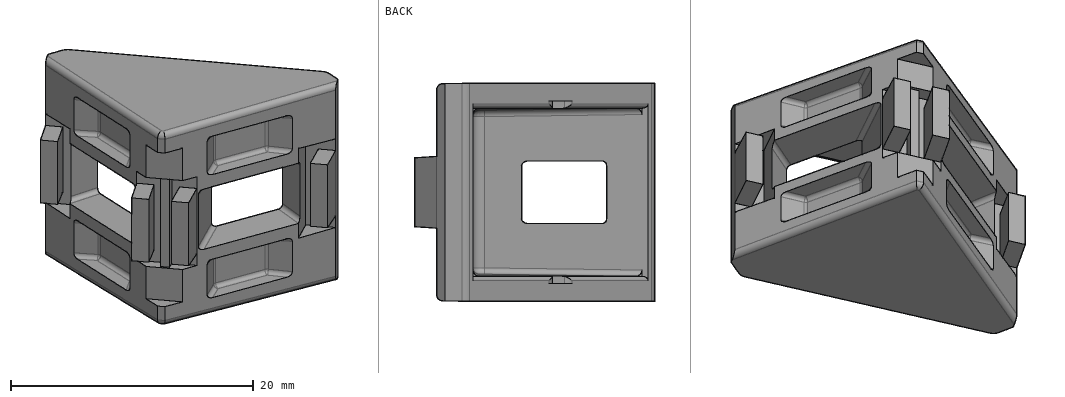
import cadquery as cq
import math

leg = 18.0
height = 18.0
mould_draft = 1.1
outward = (1, -1)

back_offset = 2.45
back_rounding = 0.91
end_chamfer = 0.71
corner_chamfer = 0.44
face_edge_fillet = 0.51

wall = 3.0
cavity_half_height = 6.93
cavity_corner_fillet = 0.93
cavity_plate_fillet = 0.51
lip_radius = 0.35
notch_wall = 8.45
notch_half_height = 7.52

window_start = 3.98
window_end = 10.97
window_mouth_end = 14.25
window_half_height = 2.73
window_draft = 3.0
window_fillet = 0.4

pocket_mouth = (4.99, 13.38)
pocket_floor = (6.53, 11.7)
pocket_depth = 1.52
pocket_mid_height = 5.58
pocket_half_height = 1.75
pocket_draft = 2.0
pocket_fillet = 0.38

relief_size = 2.18
relief_half_height = 6.97

end_slot_start = end_chamfer
corner_slot_start = 14.41
end_slot_depth = 1.78
end_slot_mouth = 3.68
corner_slot_depth = 1.48
ridge = (16.5, 0.97)
slot_half_height = 4.02
clip_reach = 1.8
clip_run = 1.98
clip_tip_width = 1.03
clip_half_height = 2.97
clip_draft = 2.5

overcut = 1.98


def drafted_prism(outline, start, direction, half_height, draft):
    """Vertical prism whose half height is given at start and changes along direction by the draft."""
    length = 2 * leg
    change = length * math.tan(math.radians(draft))
    across = (direction[1], -direction[0], 0)
    wedge_plane = cq.Plane(origin=(*start, 0), xDir=(*direction, 0), normal=across)
    wedge = (
        cq.Workplane(wedge_plane)
        .polyline([
            (-length, half_height - change),
            (length, half_height + change),
            (length, -half_height - change),
            (-length, -half_height + change),
        ])
        .close()
        .extrude(length, both=True)
    )
    prism = cq.Workplane("XY").polyline(outline).close().extrude(height, both=True)
    return prism.intersect(wedge)


def mirrored(feature):
    """Copy for the other leg: a half turn, equal to mirroring since each feature is symmetric in Z."""
    return feature.rotate((leg, 0, 0), (0, leg, 0), 180)


def mirror_point(point):
    return (leg - point[1], leg - point[0])


def make_body():
    half_outline = [
        (leg - corner_chamfer, 0),
        (end_chamfer, 0),
        (0, end_chamfer),
        (0, back_offset),
    ]
    outline = half_outline + [mirror_point(p) for p in reversed(half_outline)]
    body = drafted_prism(outline, (0, back_offset), outward, height / 2, -mould_draft)
    body = body.faces("<(1,-1,0)").edges("|Z").fillet(back_rounding)
    return body.faces("<Y or >X or >(1,-1,0)").edges("not |Z").fillet(face_edge_fillet)


def cavity_outline():
    open_offset = back_offset + overcut
    return [
        (leg - wall, wall),
        (leg - wall, leg - wall + open_offset),
        (wall - open_offset, wall),
    ]


def make_cavity():
    cavity = drafted_prism(
        cavity_outline(), (0, back_offset), outward, cavity_half_height, -mould_draft
    )
    cavity = cavity.edges("|Z").edges(">(1,-1,0)").fillet(cavity_corner_fillet)
    return cavity.faces("<Z or >Z").edges("not <(1,-1,0)").fillet(cavity_plate_fillet)


def make_cavity_lip():
    """Mouth of the cavity, flaring outwards over the rounded edges of the side plates."""
    flare = cavity_half_height + lip_radius
    arc_middle = (lip_radius * (1 - math.sqrt(0.5)), flare - lip_radius * math.sqrt(0.5))
    back_plane = cq.Plane(origin=(0, back_offset, 0), xDir=(*outward, 0), normal=(-1, -1, 0))
    flared_slab = (
        cq.Workplane(back_plane)
        .moveTo(-overcut, flare)
        .lineTo(0, flare)
        .threePointArc(arc_middle, (lip_radius, cavity_half_height))
        .lineTo(lip_radius, -cavity_half_height)
        .threePointArc((arc_middle[0], -arc_middle[1]), (0, -flare))
        .lineTo(-overcut, -flare)
        .close()
        .extrude(2 * leg, both=True)
    )
    prism = cq.Workplane("XY").polyline(cavity_outline()).close().extrude(height, both=True)
    return flared_slab.intersect(prism)


def make_notch():
    """Right-angled notch across the back face with rounded lips, cut slightly into both side plates."""
    floor = leg - notch_wall
    lips = [(notch_wall, notch_wall + back_offset), (floor - back_offset, floor)]
    outline = [
        (leg, leg + back_offset),
        lips[0],
        (notch_wall, floor),
        lips[1],
        (-leg, back_offset - leg),
        (-leg, leg + back_offset),
    ]
    notch = cq.Workplane("XY").polyline(outline).close().extrude(notch_half_height, both=True)
    for lip in lips:
        lip_edge = cq.selectors.NearestToPointSelector((*lip, 0))
        notch = notch.edges(lip_edge).fillet(back_rounding)
    return notch


def make_window():
    slope = (window_mouth_end - window_end) / wall
    outline = [
        (window_start, -overcut),
        (window_mouth_end + slope * overcut, -overcut),
        (window_end, wall),
        (window_start, wall),
    ]
    window = drafted_prism(outline, (0, 0), (0, 1), window_half_height, -window_draft)
    side_edges = window.faces("<X or >X").edges("not |Z")
    return side_edges.fillet(window_fillet)


def make_pocket():
    outline = [
        (pocket_mouth[0], 0),
        (pocket_mouth[1], 0),
        (pocket_floor[1], pocket_depth),
        (pocket_floor[0], pocket_depth),
    ]
    pocket = drafted_prism(outline, (0, 0), (0, 1), pocket_half_height, -pocket_draft)
    return pocket.edges("not <Y").fillet(pocket_fillet)


def make_pockets():
    pocket = make_pocket()
    upper = pocket.translate((0, 0, pocket_mid_height))
    lower = pocket.translate((0, 0, -pocket_mid_height))
    return upper.union(lower)


def make_corner_relief():
    return (
        cq.Workplane("XY")
        .polyline([(leg - relief_size, 0), (leg, relief_size), (leg, 0)])
        .close()
        .extrude(relief_half_height, both=True)
    )


def make_end_slot():
    outline = [
        (end_slot_start, 0),
        (end_slot_start + end_slot_depth, end_slot_depth),
        (end_slot_start + end_slot_mouth, 0),
    ]
    return drafted_prism(outline, (end_slot_start, 0), outward, slot_half_height, mould_draft)


def make_corner_slot():
    """Slot shared by both legs, with a flat rib left standing across the corner."""
    half_outline = [
        (corner_slot_start, 0),
        (corner_slot_start + corner_slot_depth, corner_slot_depth),
        ridge,
    ]
    outline = half_outline + [mirror_point(p) for p in reversed(half_outline)] + [(leg, 0)]
    return drafted_prism(outline, (corner_slot_start, 0), outward, slot_half_height, mould_draft)


def make_clip(start):
    """Slanted clip standing on the slot face that rises at 45 degrees from (start, 0)."""
    outer_tip = (start + clip_run, -clip_reach)
    inner_tip = (outer_tip[0] + clip_tip_width, outer_tip[1] + clip_tip_width)
    slope = clip_reach / clip_run
    root_rise = (inner_tip[1] + slope * (inner_tip[0] - start)) / (1 + slope)
    outline = [(start, 0), outer_tip, inner_tip, (start + root_rise, root_rise)]
    return drafted_prism(
        outline, (start, 0), (clip_run, -clip_reach), clip_half_height, -clip_draft
    )


result = make_body().cut(make_cavity()).cut(make_cavity_lip()).cut(make_notch())
result = result.cut(make_corner_relief()).cut(make_corner_slot())
for leg_cutter in (make_window(), make_pockets(), make_end_slot()):
    result = result.cut(leg_cutter).cut(mirrored(leg_cutter))
for clip_start in (end_slot_start, corner_slot_start):
    clip = make_clip(clip_start)
    result = result.union(clip).union(mirrored(clip))